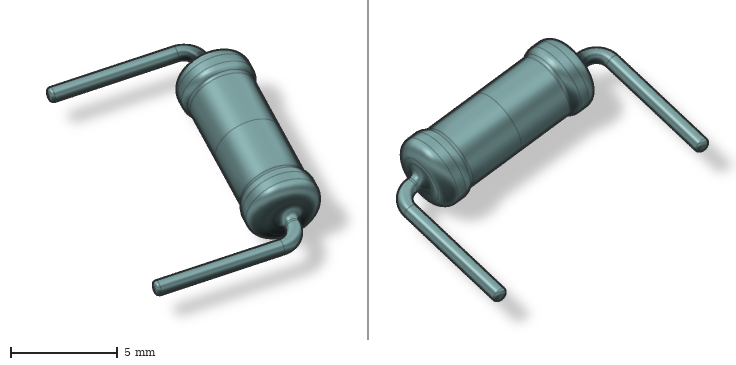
import cadquery as cq
import math

span = 13.45
wire_radius = 0.38
bend_radius = 1.0
lead_drop = 7.49
tip_round = 0.2

body_length = 9.55
cap_radius = 1.876
barrel_radius = 1.7
cap_corner = 0.67
cap_flat = 0.47
shoulder_radius = 0.77
neck_radius = 0.34
root_fillet = 0.47

half_span = span / 2
half_body = body_length / 2
lead_x = half_span - wire_radius
bend_start_x = lead_x - bend_radius
land_outer_x = half_body - cap_corner
land_inner_x = land_outer_x - cap_flat
root_x = half_body + root_fillet
root_radius = wire_radius + root_fillet

blend_radius = shoulder_radius + neck_radius
blend_angle = math.acos(1 - (cap_radius - barrel_radius) / blend_radius)
barrel_end_x = land_inner_x - blend_radius * math.sin(blend_angle)


def arc_point(center, radius, angle):
    """Point (x, r) on an arc, with the angle measured from +X toward +r."""
    return (center[0] + radius * math.cos(angle), center[1] + radius * math.sin(angle))


def half_body_solid():
    """The +X half of the body, with its cap and lead root."""
    up = math.pi / 2
    corner_center = (land_outer_x, cap_radius - cap_corner)
    shoulder_center = (land_inner_x, cap_radius - shoulder_radius)
    neck_center = (barrel_end_x, barrel_radius + neck_radius)
    root_center = (root_x, root_radius)
    profile = (
        cq.Workplane("XY")
        .lineTo(0, barrel_radius)
        .lineTo(barrel_end_x, barrel_radius)
        .threePointArc(
            arc_point(neck_center, neck_radius, blend_angle / 2 - up),
            arc_point(neck_center, neck_radius, blend_angle - up),
        )
        .threePointArc(
            arc_point(shoulder_center, shoulder_radius, up + blend_angle / 2),
            (land_inner_x, cap_radius),
        )
        .lineTo(land_outer_x, cap_radius)
        .threePointArc(
            arc_point(corner_center, cap_corner, up / 2),
            (half_body, cap_radius - cap_corner),
        )
        .lineTo(half_body, root_radius)
        .threePointArc(
            arc_point(root_center, root_fillet, -1.5 * up),
            (root_x, wire_radius),
        )
        .lineTo(root_x, 0)
        .close()
    )
    return profile.revolve(360, (0, 0, 0), (1, 0, 0))


def lead():
    """The +X lead: out of the body, round the bend and down to a rounded tip."""
    bend_center = (bend_start_x, -bend_radius)
    path = (
        cq.Workplane("XY")
        .moveTo(half_body, 0)
        .lineTo(bend_start_x, 0)
        .threePointArc(
            arc_point(bend_center, bend_radius, math.pi / 4),
            (lead_x, -bend_radius),
        )
        .lineTo(lead_x, -lead_drop)
    )
    wire = cq.Workplane("YZ", origin=(half_body, 0, 0)).circle(wire_radius).sweep(path)
    return wire.faces("<Y").edges().fillet(tip_round)


half = half_body_solid().union(lead())
result = half.union(half.mirror("YZ")).clean()